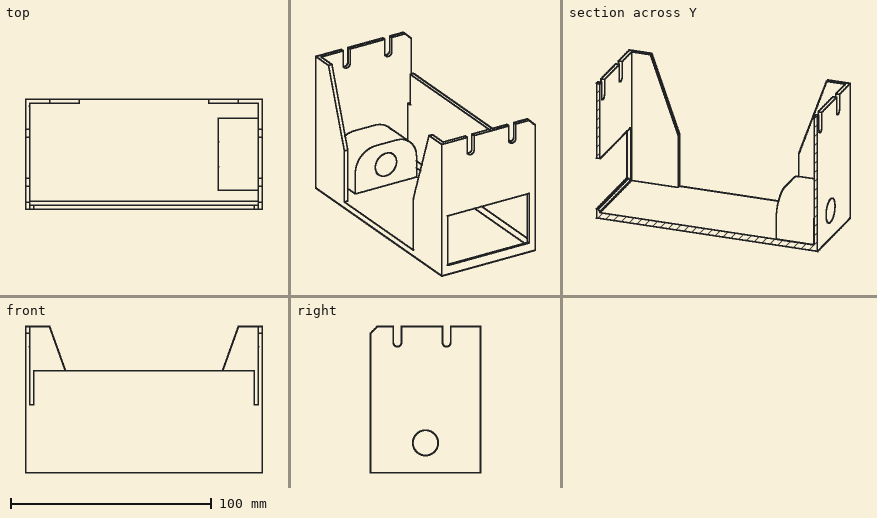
import cadquery as cq
length = 118.0
depth = 55.0
height = 73.0
wall = 2.0
floor_thickness = 3.4

front_height = 51.0
gap_width = 2.0
gap_bottom = 34.0
foot_chamfer = 2.0

tab_top_length = 12.0
tab_length = 26.8
tab_slope_bottom = 31.7

corner_chamfer = 3.5
notch_width = 4.0
notch_depth = 10.0
notch_positions = (13.5, 38.0)

window_margin = 3.5
window_bottom = 5.0
window_top = 32.5
sill_chamfer = 1.0

block_length = 20.0
block_width = 36.0
block_top = 27.0
block_radius = 12.0
block_x = length - wall - block_length
bore_diameter = 12.5
bore_z = block_top - block_radius
mid_y = depth / 2


def box(x0, x1, y0, y1, z0, z1):
    """Box between two opposite corners."""
    return cq.Workplane("XY").box(x1 - x0, y1 - y0, z1 - z0, centered=False).translate((x0, y0, z0))


def mirrored(shape):
    """The shape together with its mirror image about the middle of the length."""
    middle = (length / 2, 0, 0)
    return shape.union(shape.mirror("YZ", middle))


def end_wall():
    """Left end wall with its chamfered front corner and two round-ended notches."""
    body = box(0, wall, 0, depth, 0, height)
    body = body.edges("|X and >Z and <Y").chamfer(corner_chamfer)
    radius = notch_width / 2
    for y in notch_positions:
        center_z = height - notch_depth + radius
        body = body.cut(box(0, wall, y - radius, y + radius, center_z, height))
        rounded = cq.Workplane("YZ").center(y, center_z).circle(radius).extrude(wall)
        body = body.cut(rounded)
    return body


def rear_tab():
    """Left rear tab: narrow at the top, sloping out to its full length."""
    outline = [
        (0, 0),
        (tab_length, 0),
        (tab_length, tab_slope_bottom),
        (tab_top_length, height),
        (0, height),
    ]
    return cq.Workplane("XZ", origin=(0, depth, 0)).polyline(outline).close().extrude(wall)


def front_wall():
    """Front wall with a chamfered foot inside and a gap at each end of its upper part."""
    outline = [
        (0, 0),
        (wall + foot_chamfer, 0),
        (wall + foot_chamfer, floor_thickness),
        (wall, floor_thickness + foot_chamfer),
        (wall, front_height),
        (0, front_height),
    ]
    body = cq.Workplane("YZ").polyline(outline).close().extrude(length)
    gap = box(0, wall + gap_width, 0, wall, gap_bottom, front_height)
    return body.cut(mirrored(gap))


def block():
    """Block with rounded top corners, standing on the floor against the right end wall."""
    y0 = mid_y - block_width / 2
    body = box(block_x, length, y0, y0 + block_width, 0, block_top)
    return body.edges("|X and >Z").fillet(block_radius)


def bore():
    """Bore through the block and the right end wall."""
    start = (block_x, mid_y, bore_z)
    profile = cq.Workplane("YZ", origin=start).circle(bore_diameter / 2)
    return profile.extrude(block_length + wall)


def window():
    """Rectangular opening through the left end wall, its sill chamfered along the inner edge."""
    outline = [
        (0, window_bottom),
        (wall - sill_chamfer, window_bottom),
        (wall, window_bottom - sill_chamfer),
        (wall, window_top),
        (0, window_top),
    ]
    profile = cq.Workplane("XZ", origin=(0, depth - window_margin, 0)).polyline(outline).close()
    return profile.extrude(depth - 2 * window_margin)


result = box(0, length, 0, depth, 0, floor_thickness)
result = result.union(front_wall())
result = result.union(mirrored(end_wall()))
result = result.union(mirrored(rear_tab()))
result = result.union(block())
result = result.cut(bore())
result = result.cut(window())